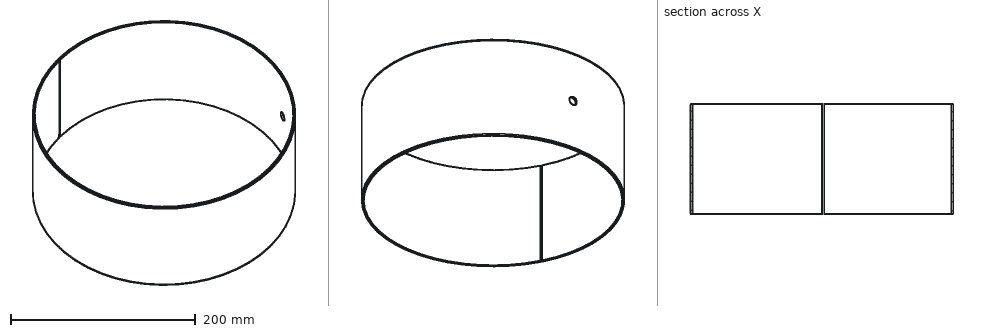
import cadquery as cq

outer_diameter = 285.0
height = 120.0
wall = 2.5
outer_bevel_height = 1.7
outer_bevel_depth = 0.5
inner_bevel = 0.5
slit_width = 2.3
hole_diameter = 10.0
hole_angle = 59.0

outer_radius = outer_diameter / 2
inner_radius = outer_radius - wall
middle_radius = outer_radius - wall / 2
cutter_length = 2 * wall


def bevelled_band():
    """Thin upright ring, bevelled on both sides of each rim and centred on the origin."""
    top = height / 2
    upper_half = [
        (outer_radius, top - outer_bevel_height),
        (outer_radius - outer_bevel_depth, top),
        (inner_radius + inner_bevel, top),
        (inner_radius, top - inner_bevel),
    ]
    lower_half = [(radius, -z) for radius, z in reversed(upper_half)]
    section = cq.Workplane("XZ").polyline(upper_half + lower_half).close()
    return section.revolve(360, (0, 0, 0), (0, 1, 0))


def slit_cutter():
    """Full-height split through the wall on the -X side, with one face on the XZ plane."""
    slit = cq.Workplane("XY").box(cutter_length, slit_width, height)
    return slit.translate((-middle_radius, slit_width / 2, 0))


def hole_cutter():
    """Radial hole through the wall at mid-height."""
    start = middle_radius - cutter_length / 2
    drill = cq.Workplane("YZ", origin=(start, 0, 0)).circle(hole_diameter / 2).extrude(cutter_length)
    return drill.rotate((0, 0, 0), (0, 0, 1), hole_angle)


result = bevelled_band().cut(slit_cutter()).cut(hole_cutter())